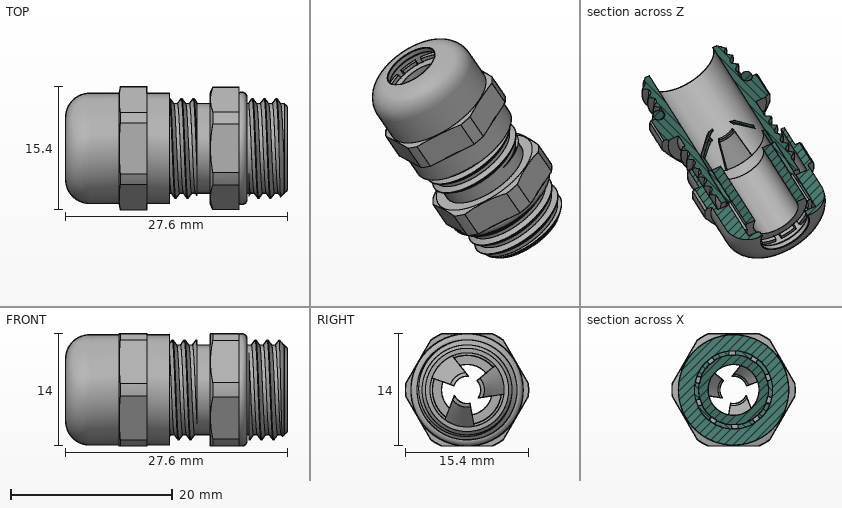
import cadquery as cq
import math


hex_flats = 14.0
cage_diameter = 9.65
seal_diameter = 8.64
seal_bore = 6.3

nut_diameter = 13.75
nut_end = 12.95
dome_radius = 3.03
entry_diameter = 6.73
entry_chamfer = 0.07
entry_rear_diameter = 7.1
front_wall = 0.83
nut_shoulder = 6.07
nut_bore = 12.75
nut_hex_start = 6.68
nut_hex_end = 10.1
nut_hex_corners = 15.35
nut_hex_chamfer_circle = 13.9
nut_hex_chamfer_length = 0.15

body_start = 6.62
body_end = 27.6
body_diameter = 11.17
body_bore = 9.22
end_chamfer = 0.41
cage_seat = 11.6
body_hex_start = 17.95
body_hex_end = 21.58
body_hex_corners = 15.23
body_hex_chamfer_circle = 13.8
body_hex_chamfer_length = 0.33

pitch = 1.5
crest_diameter = 12.42
crest_width = 0.1
ridge_width = 1.15
ridge_root_depth = 0.08
front_thread_start = 8.08
front_thread_end = 16.33
rear_thread_start = 22.75
rear_helix_start = 21.35
limit_diameter = crest_diameter + 0.17
ridge_inset = 0.03

ring_section = 1.38
ring_center_diameter = hex_flats - ring_section
ring_end = 22.57

cage_front = 2.0
finger_count = 10
finger_length = 4.41
finger_gap = 0.77
first_gap_angle = -2.0

seal_front = 2.45

sleeve_end = 13.8
sleeve_wall = 0.33
tongue_count = 3
tongue_length = 2.75
tongue_lip_length = 0.15
tongue_wall = 0.22
tongue_tip_radius = 1.68
tongue_lip_radius = 1.93
tongue_radial_side = [(1.05, 1.0), (3.84, 3.35)]
tongue_outer_corner = (6.07, 2.2)
tongue_slanted_side = [(4.97, -0.47), (1.38, -1.02)]


def cylinder(diameter, start, end):
    """A round bar along X."""
    return cq.Workplane("YZ", origin=(start, 0, 0)).circle(diameter / 2).extrude(end - start)


def tube(outer, inner, start, end):
    """A plain sleeve along X."""
    return cylinder(outer, start, end).cut(cylinder(inner, start, end))


def revolve_about_x(points):
    """A closed outline of (X, radius) points turned around the axis."""
    return cq.Workplane("XY").polyline(points).close().revolve(360, (0, 0, 0), (1, 0, 0))


def hexagon(start, end, corners, chamfer_circle, chamfer_length):
    """A hexagon with rounded corners, and a shallow cone on its front face."""
    across_points = hex_flats / math.cos(math.pi / 6)
    prism = cq.Workplane("YZ", origin=(start, 0, 0)).polygon(6, across_points).extrude(end - start)
    turned = revolve_about_x([
        (start, 0),
        (start, chamfer_circle / 2),
        (start + chamfer_length, corners / 2),
        (end, corners / 2),
        (end, 0),
    ])
    return prism.intersect(turned)


def thread_ridge(start, end):
    """A right-handed V ridge along X whose middle is at the bottom of the body at `start`."""
    root_radius = body_diameter / 2 - ridge_root_depth
    helix = cq.Wire.makeHelix(pitch, end - start, root_radius)
    ridge = (
        cq.Workplane("XZ")
        .polyline([
            (root_radius, -ridge_width / 2),
            (crest_diameter / 2, -crest_width / 2),
            (crest_diameter / 2, crest_width / 2),
            (root_radius, ridge_width / 2),
        ])
        .close()
        .sweep(cq.Workplane(helix), isFrenet=True)
    )
    return ridge.rotate((0, 0, 0), (0, 1, 0), 90).translate((start, 0, 0))


def make_nut():
    nut = cylinder(nut_diameter, 0, nut_end).faces("<X").edges().fillet(dome_radius)
    nut = nut.union(hexagon(
        nut_hex_start, nut_hex_end, nut_hex_corners, nut_hex_chamfer_circle, nut_hex_chamfer_length
    ))
    rear_bevel = (entry_rear_diameter - entry_diameter) / 2
    cavity = revolve_about_x([
        (0, 0),
        (0, entry_diameter / 2 + entry_chamfer),
        (entry_chamfer, entry_diameter / 2),
        (front_wall - rear_bevel, entry_diameter / 2),
        (front_wall, entry_rear_diameter / 2),
        (front_wall, cage_diameter / 2),
        (nut_shoulder, cage_diameter / 2),
        (nut_shoulder, nut_bore / 2),
        (nut_end, nut_bore / 2),
        (nut_end, 0),
    ])
    return nut.cut(cavity)


def make_o_ring():
    center_x = ring_end - ring_section / 2
    return (
        cq.Workplane("XY")
        .center(center_x, ring_center_diameter / 2)
        .circle(ring_section / 2)
        .revolve(360, (-0.28, -ring_center_diameter / 2, 0), (0.28, -ring_center_diameter / 2, 0))
    )


def make_body(o_ring):
    body = cylinder(body_diameter, body_start, body_end).faces(">X").edges().chamfer(end_chamfer)
    body = body.union(hexagon(
        body_hex_start, body_hex_end, body_hex_corners, body_hex_chamfer_circle, body_hex_chamfer_length
    ))
    front_limit = cylinder(limit_diameter, body_start, front_thread_end)
    front_ridge = thread_ridge(front_thread_start, front_thread_end + pitch).intersect(front_limit)
    cone_length = end_chamfer + (limit_diameter - body_diameter) / 2
    rear_thread_end = body_end - ridge_inset
    rear_limit = (
        cylinder(limit_diameter, rear_thread_start, rear_thread_end).faces(">X").edges().chamfer(cone_length)
    )
    rear_ridge = thread_ridge(rear_helix_start, body_end + pitch).intersect(rear_limit)
    body = body.union(front_ridge).union(rear_ridge)
    body = body.cut(cylinder(cage_diameter, body_start, cage_seat))
    body = body.cut(cylinder(body_bore, cage_seat, body_end))
    return body.cut(o_ring)


def make_cage():
    cage = tube(cage_diameter, seal_diameter, cage_front, cage_seat)
    gap = (
        cq.Workplane("XY")
        .box(finger_length, finger_gap, cage_diameter, centered=(False, True, False))
        .translate((cage_front, 0, 0))
    )
    for i in range(finger_count):
        cage = cage.cut(gap.rotate((0, 0, 0), (1, 0, 0), first_gap_angle + i * 360 / finger_count))
    return cage


def make_seal():
    return tube(seal_diameter, seal_bore, seal_front, cage_seat)


def make_contact_spring():
    """A sleeve with three tongues that lean inwards along a cone and end in a short lip."""
    sleeve_radius = body_bore / 2
    spring = tube(body_bore, body_bore - 2 * sleeve_wall, cage_seat, sleeve_end)
    lip_start = sleeve_end + tongue_length
    tongue_end = lip_start + tongue_lip_length
    cone = revolve_about_x([
        (sleeve_end, sleeve_radius - sleeve_wall),
        (lip_start, tongue_lip_radius),
        (tongue_end, tongue_tip_radius),
        (tongue_end + tongue_wall, tongue_tip_radius),
        (lip_start + tongue_wall, tongue_lip_radius + tongue_wall),
        (sleeve_end + tongue_wall, sleeve_radius),
        (sleeve_end, sleeve_radius),
    ])
    outline = (
        cq.Workplane("YZ", origin=(sleeve_end, 0, 0))
        .polyline([*tongue_radial_side, tongue_outer_corner, *tongue_slanted_side])
        .close()
        .extrude(tongue_end + tongue_wall - sleeve_end)
    )
    for i in range(tongue_count):
        turned = outline.rotate((0, 0, 0), (1, 0, 0), i * 360 / tongue_count)
        spring = spring.union(cone.intersect(turned))
    return spring


nut = make_nut()
o_ring = make_o_ring()
body = make_body(o_ring)
cage = make_cage()
seal = make_seal()
contact_spring = make_contact_spring()

result = cq.Compound.makeCompound([
    nut.val(),
    body.val(),
    o_ring.val(),
    cage.val(),
    seal.val(),
    contact_spring.val(),
])